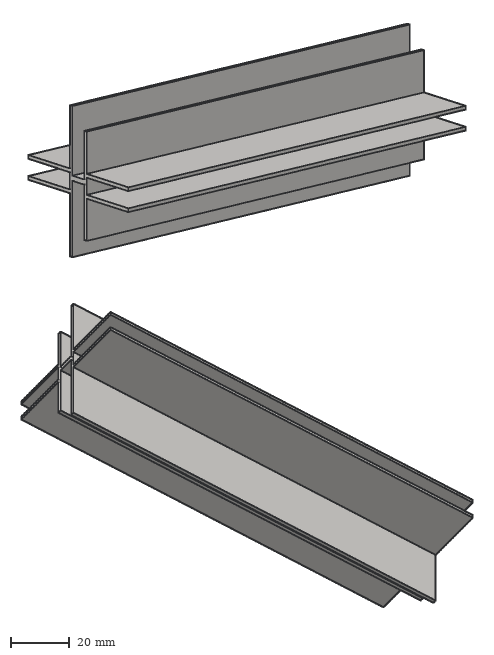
import cadquery as cq

length = 152.4
overall_width = 52.3
tall_wall_height = 53.8

wall_thickness = 1.4
wall_pitch = 7.5
short_wall_height = tall_wall_height - 2 * wall_pitch
web_thickness = 1.8
web_rise = 1.2


def bar(width, height, x, z):
    """Full-length rectangular bar centred at (x, z) in the cross-section."""
    return cq.Workplane("XY").box(width, length, height).translate((x, 0, z))


half_pitch = wall_pitch / 2
tall_wall = bar(wall_thickness, tall_wall_height, -half_pitch, 0)
short_wall = bar(wall_thickness, short_wall_height, half_pitch, 0)
web = bar(wall_pitch, web_thickness, 0, web_rise)
result = tall_wall.union(web).union(short_wall)

flange_width = overall_width / 2 - half_pitch
flange_centre = half_pitch + flange_width / 2
for side in (-1, 1):
    for level in (-1, 1):
        flange = bar(flange_width, wall_thickness, side * flange_centre, level * half_pitch)
        result = result.union(flange)